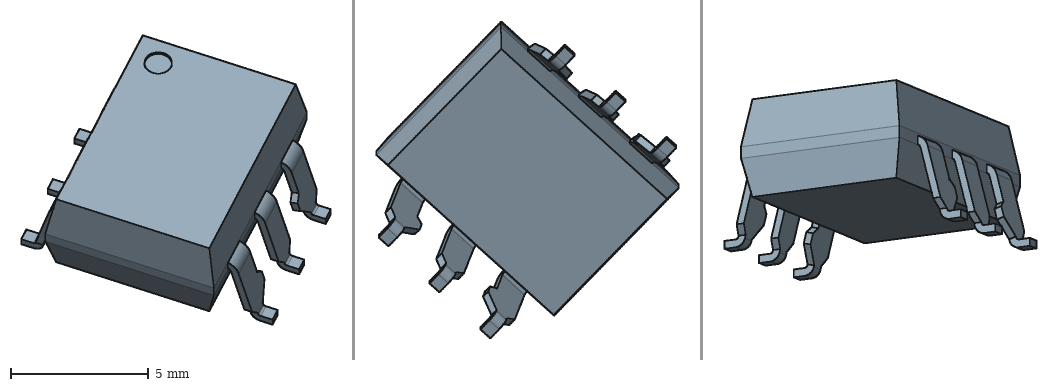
import cadquery as cq
import math

overall_width = 9.89
overall_height = 5.08

housing_width = 6.64
housing_length = 8.89
housing_bottom_z = 1.42
belt_bottom_z = 2.85
belt_top_z = 3.28
draft_inset = 0.31
marker_diameter = 1.0
marker_depth = 0.1
marker_x = -2.0
marker_y = 3.15

lead_pitch = 2.54
lead_thickness = 0.3
lead_width = 1.11
lead_lean = math.radians(15)
lead_top_z = 3.2
shoulder_outer_radius = 0.59
ankle_inner_radius = 0.1
foot_flat_length = 0.47
foot_width = 0.49
taper_bottom_z = 0.42
taper_top_z = 0.77

tab_reach = 0.28
tab_lower_z = 1.06
tab_upper_z = 1.46
tab_root_z = 1.7

foot_end_x = -overall_width / 2
housing_face_x = -housing_width / 2
ankle_outer_radius = ankle_inner_radius + lead_thickness
shoulder_inner_radius = shoulder_outer_radius - lead_thickness
ankle_center = (foot_end_x + foot_flat_length, ankle_outer_radius)
shoulder_center_z = lead_top_z - shoulder_outer_radius
shoulder_center = (
    ankle_center[0]
    + (shoulder_center_z - ankle_center[1]) * math.tan(lead_lean)
    + (ankle_inner_radius + shoulder_outer_radius) / math.cos(lead_lean),
    shoulder_center_z,
)


def arc_point(center, radius, angle):
    """Point (x, z) on a circle, with the angle measured from +X towards +Z."""
    return (center[0] + radius * math.cos(angle), center[1] + radius * math.sin(angle))


def make_housing():
    housing = (
        cq.Workplane("XY")
        .workplane(offset=belt_bottom_z)
        .rect(housing_width, housing_length)
        .extrude(belt_top_z - belt_bottom_z)
    )
    for belt_z, end_z in ((belt_bottom_z, housing_bottom_z), (belt_top_z, overall_height)):
        tapered_block = (
            cq.Workplane("XY")
            .workplane(offset=belt_z)
            .rect(housing_width, housing_length)
            .workplane(offset=end_z - belt_z)
            .rect(housing_width - 2 * draft_inset, housing_length - 2 * draft_inset)
            .loft(ruled=True)
        )
        housing = housing.union(tapered_block)
    marker = (
        cq.Workplane("XY")
        .workplane(offset=overall_height - marker_depth)
        .center(marker_x, marker_y)
        .circle(marker_diameter / 2)
        .extrude(marker_depth)
    )
    return housing.cut(marker)


def make_bent_strip():
    """Constant-thickness strip with foot, ankle bend, leaning shank and shoulder bend."""
    ankle_end = -lead_lean
    ankle_middle = (ankle_end - math.pi / 2) / 2
    shoulder_start = math.pi - lead_lean
    run_to_face = housing_face_x - shoulder_center[0]
    outer_face_angle = math.acos(run_to_face / shoulder_outer_radius)
    inner_face_angle = math.acos(run_to_face / shoulder_inner_radius)
    outer_middle = (shoulder_start + outer_face_angle) / 2
    inner_middle = (shoulder_start + inner_face_angle) / 2
    profile = (
        cq.Workplane("XZ")
        .moveTo(foot_end_x, lead_thickness)
        .lineTo(foot_end_x, 0)
        .lineTo(ankle_center[0], 0)
        .threePointArc(
            arc_point(ankle_center, ankle_outer_radius, ankle_middle),
            arc_point(ankle_center, ankle_outer_radius, ankle_end),
        )
        .lineTo(*arc_point(shoulder_center, shoulder_inner_radius, shoulder_start))
        .threePointArc(
            arc_point(shoulder_center, shoulder_inner_radius, inner_middle),
            arc_point(shoulder_center, shoulder_inner_radius, inner_face_angle),
        )
        .lineTo(*arc_point(shoulder_center, shoulder_outer_radius, outer_face_angle))
        .threePointArc(
            arc_point(shoulder_center, shoulder_outer_radius, outer_middle),
            arc_point(shoulder_center, shoulder_outer_radius, shoulder_start),
        )
        .lineTo(*arc_point(ankle_center, ankle_inner_radius, ankle_end))
        .threePointArc(
            arc_point(ankle_center, ankle_inner_radius, ankle_middle),
            (ankle_center[0], lead_thickness),
        )
        .close()
    )
    return profile.extrude(lead_width / 2, both=True)


def make_lead_outline():
    """Block along X whose section narrows from the lead width to the foot width."""
    half_lead = lead_width / 2
    half_foot = foot_width / 2
    return (
        cq.Workplane("YZ")
        .workplane(offset=foot_end_x)
        .polyline([
            (-half_foot, 0),
            (half_foot, 0),
            (half_foot, taper_bottom_z),
            (half_lead, taper_top_z),
            (half_lead, lead_top_z),
            (-half_lead, lead_top_z),
            (-half_lead, taper_top_z),
            (-half_foot, taper_bottom_z),
        ])
        .close()
        .extrude(housing_face_x - foot_end_x)
    )


def make_tab(side):
    """Tab on the +Y (side = 1) or -Y (side = -1) edge, square to the shank faces."""
    face_start_x, face_start_z = arc_point(ankle_center, ankle_inner_radius, -lead_lean)
    outer_face = cq.Plane(
        origin=(face_start_x, 0, face_start_z),
        xDir=(0, -1, 0),
        normal=(-math.cos(lead_lean), 0, math.sin(lead_lean)),
    )
    outline = [
        (foot_width / 2, taper_bottom_z),
        (lead_width / 2 + tab_reach, tab_lower_z),
        (lead_width / 2 + tab_reach, tab_upper_z),
        (lead_width / 2, tab_root_z),
        (foot_width / 2, tab_root_z),
    ]
    points = [(-side * y, (z - face_start_z) / math.cos(lead_lean)) for y, z in outline]
    return cq.Workplane(outer_face).polyline(points).close().extrude(-lead_thickness)


def make_lead(row):
    """Lead of the -X side; the end leads (row = -1 or 1) carry a tab facing the middle lead."""
    lead = make_bent_strip().intersect(make_lead_outline())
    if row != 0:
        lead = lead.union(make_tab(-row))
    return lead.translate((0, row * lead_pitch, 0))


housing = make_housing()

leads = []
for row in (-1, 0, 1):
    left_lead = make_lead(row)
    right_lead = left_lead.mirror("YZ")
    leads += [left_lead.solids().val(), right_lead.solids().val()]

result = cq.Compound.makeCompound([housing.solids().val(), *leads])